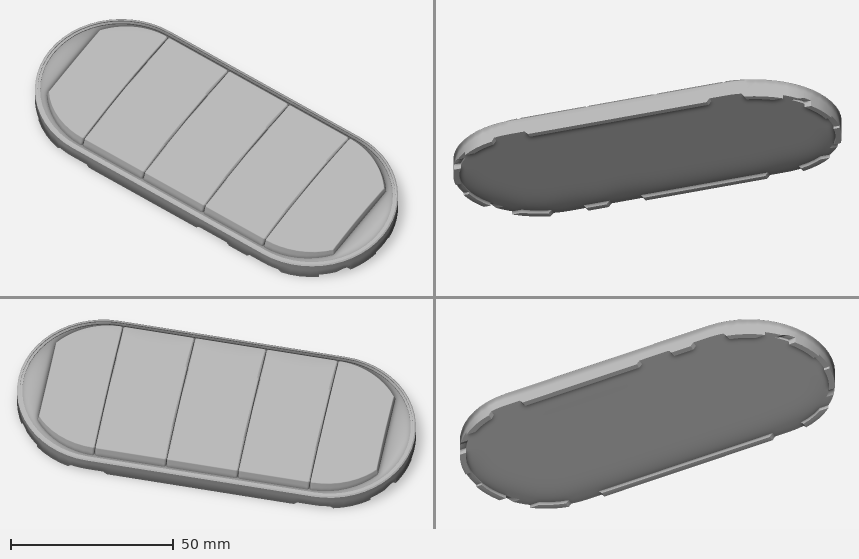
import cadquery as cq
import math

base_length = 124.0
base_width = 53.0
end_radius = base_width / 2
end_center_x = base_length / 2 - end_radius
rim_height = 6.1
ledge_height = 5.7
floor_height = 5.3
rim_chamfer = 0.4
ledge_inset = 0.9
floor_inset = 1.6
wall_thickness = 1.9
cavity_height = 1.1

edge_notch_height = 1.1
edge_notch_top = 10.3
edge_notch_bottom = 12.1
front_notch_x = 16.6
tip_notch_width = 7.0
tip_notch_height = 0.7
corner_notch_inner_y = 12.9
corner_notch_outer_y = 20.6
corner_ramp_start_y = 15.2
corner_ramp_end_y = 16.7
corner_notch_high = 1.9
corner_notch_low = edge_notch_height

crown_height = 9.4
crown_radius = 218.1
end_drop_radius = 106.6
middle_tile_count = 3
tile_pitch = 22.4
tile_gap = 0.1
tile_foot_width = 48.1
tile_foot_length = 106.6
tile_arc_center_x = 34.1
side_draft = 20.0
end_draft = 13.0
groove_radius = 0.7
edge_radius = 0.5

tile_length = tile_pitch - tile_gap
end_joint_x = (tile_pitch * middle_tile_count + tile_gap) / 2


def stadium(length, width, z):
    """A workplane at height z holding a closed stadium outline along X."""
    return cq.Workplane("XY", origin=(0, 0, z)).slot2D(length, width)


def inset_stadium(inset, z):
    """The base outline moved inward by the given inset."""
    return stadium(base_length - 2 * inset, base_width - 2 * inset, z)


def edge_notch_cutter(x, y_from, y_to):
    """A trapezoidal bar along Y, wider at the bottom edge of the wall."""
    profile = [
        (x - edge_notch_bottom / 2, 0),
        (x - edge_notch_top / 2, edge_notch_height),
        (x + edge_notch_top / 2, edge_notch_height),
        (x + edge_notch_bottom / 2, 0),
    ]
    plane = cq.Plane(origin=(0, y_from, 0), xDir=(1, 0, 0), normal=(0, -1, 0))
    return cq.Workplane(plane).polyline(profile).close().extrude(y_from - y_to)


def corner_notch_cutter():
    """Bars along X through both ends at +Y, deeper toward the centerline of the base."""
    profile = [
        (corner_notch_inner_y, 0),
        (corner_notch_inner_y, corner_notch_high),
        (corner_ramp_start_y, corner_notch_high),
        (corner_ramp_end_y, corner_notch_low),
        (corner_notch_outer_y, corner_notch_low),
        (corner_notch_outer_y, 0),
    ]
    bar = cq.Workplane("YZ").polyline(profile).close().extrude(base_length / 2, both=True)
    return bar.cut(inset_stadium(wall_thickness, 0).extrude(rim_height))


def make_base():
    body = inset_stadium(0, 0).extrude(rim_height)
    body = body.faces(">Z").edges().chamfer(rim_chamfer)

    body = body.cut(inset_stadium(ledge_inset, ledge_height).extrude(rim_height - ledge_height))
    body = body.cut(inset_stadium(floor_inset, floor_height).extrude(rim_height - floor_height))
    body = body.cut(inset_stadium(wall_thickness, 0).extrude(cavity_height))

    for side in (-1, 1):
        body = body.cut(edge_notch_cutter(side * end_center_x, base_width, -base_width))
    body = body.cut(edge_notch_cutter(front_notch_x, wall_thickness - end_radius, -base_width))

    tip_notches = cq.Workplane("XY").box(
        2 * base_length, tip_notch_width, tip_notch_height, centered=(True, True, False)
    )
    body = body.cut(tip_notches)

    notch = corner_notch_cutter()
    return body.cut(notch).cut(notch.mirror("XZ"))


def crown_profile(x):
    """Cross-section under the crown in the YZ plane at the given x."""
    half = base_width / 2
    edge_height = crown_height - crown_radius + math.sqrt(crown_radius**2 - half**2)
    return (
        cq.Workplane("YZ", origin=(x, 0, 0))
        .moveTo(-half, floor_height)
        .lineTo(-half, edge_height)
        .threePointArc((0, crown_height), (half, edge_height))
        .lineTo(half, floor_height)
        .close()
    )


def straight_crown(x_from):
    """One tile length of straight crown starting at x_from."""
    return crown_profile(x_from).extrude(tile_length)


def end_crown():
    """Crown swept down along X beyond the last joint on the +X side."""
    axis_z = crown_height - end_drop_radius
    sweep_angle = math.degrees(math.asin(end_radius / end_drop_radius))
    return crown_profile(end_joint_x).revolve(sweep_angle, (-1.2, axis_z, 0), (1.2, axis_z, 0))


def tile_row():
    """All tiles as one drafted block: a stadium with its round ends cut straight across."""
    height = crown_height - floor_height
    stadium_length = 2 * tile_arc_center_x + tile_foot_width
    block = stadium(stadium_length, tile_foot_width, floor_height).extrude(height, taper=side_draft)

    end_planes = (
        cq.Workplane("XY", origin=(0, 0, floor_height))
        .rect(tile_foot_length, 2 * base_width)
        .extrude(height, taper=end_draft)
    )
    return block.intersect(end_planes)


def round_tile(tile, joint_faces):
    """Round the outer edges of the crown, then the exposed rim of each joint face."""
    crown_edges = tile.faces("%CYLINDER or %REVOLUTION").edges()
    for face in joint_faces:
        crown_edges = crown_edges.filter(lambda edge, joint=tile.faces(face).val(): not lies_on(edge, joint))
    tile = crown_edges.fillet(edge_radius)
    for face in joint_faces:
        tile = tile.faces(face).edges("not <Z").fillet(groove_radius)
    return tile


def lies_on(edge, flat_face):
    """Whether an edge lies in the plane of a face that is square to the X axis."""
    box = edge.BoundingBox()
    face_x = flat_face.Center().x
    return max(abs(box.xmin - face_x), abs(box.xmax - face_x)) < edge_radius / 2


def make_middle_tile(center_x):
    block = tile_row().intersect(straight_crown(center_x - tile_length / 2))
    return round_tile(block, ("<X", ">X"))


def make_end_tile():
    """The +X end tile; the -X one is its mirror image."""
    return round_tile(tile_row().intersect(end_crown()), ("<X",))


base = make_base()

middle_tiles = []
for index in range(middle_tile_count):
    center_x = (index - (middle_tile_count - 1) / 2) * tile_pitch
    middle_tiles.append(make_middle_tile(center_x))

right_end_tile = make_end_tile()
end_tiles = [right_end_tile, right_end_tile.mirror("YZ")]

result = cq.Compound.makeCompound(
    [base.val()] + [tile.val() for tile in middle_tiles + end_tiles]
)